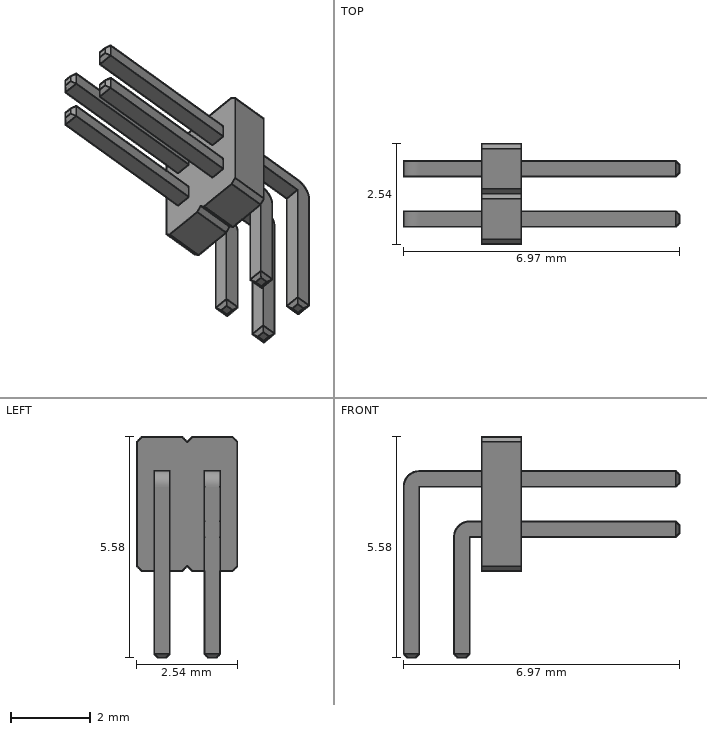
import cadquery as cq

pitch = 1.27
rows = 2
columns = 2
overall_length = 6.97
overall_height = 5.58

body_length = 1.0
body_height = 3.39
body_chamfer = 0.127

pin_width = 0.4
bend_radius = 0.4
tip_bevel = 0.1

body_start_x = 1.97
body_middle = overall_height - body_height / 2
body_bottom = overall_height - body_height
outer_pin_top = body_middle + (rows - 1) / 2 * pitch + pin_width / 2

def column_y(column):
    return (column - (columns - 1) / 2) * pitch

def make_body_cell(y):
    """One column's block of the body, with its four lengthwise edges chamfered."""
    cell = cq.Workplane("XY").box(body_length, pitch, body_height, centered=(False, True, False))
    cell = cell.edges("|X").chamfer(body_chamfer)
    return cell.translate((body_start_x, y, body_bottom))

def make_pin(row, y):
    """One pin; each further row nests inside the previous bend by one pitch."""
    back = row * pitch
    top = outer_pin_top - row * pitch
    pin = (
        cq.Workplane("XZ", origin=(0, y + pin_width / 2, 0))
        .moveTo(back, 0)
        .lineTo(back, top - bend_radius)
        .radiusArc((back + bend_radius, top), bend_radius)
        .lineTo(overall_length, top)
        .lineTo(overall_length, top - pin_width)
        .lineTo(back + pin_width, top - pin_width)
        .lineTo(back + pin_width, 0)
        .close()
        .extrude(pin_width)
    )
    pin = pin.faces(">X").chamfer(tip_bevel)
    return pin.faces("<Z").chamfer(tip_bevel)

result = make_body_cell(column_y(0))
for column in range(1, columns):
    result = result.union(make_body_cell(column_y(column)))
for column in range(columns):
    for row in range(rows):
        result = result.union(make_pin(row, column_y(column)))